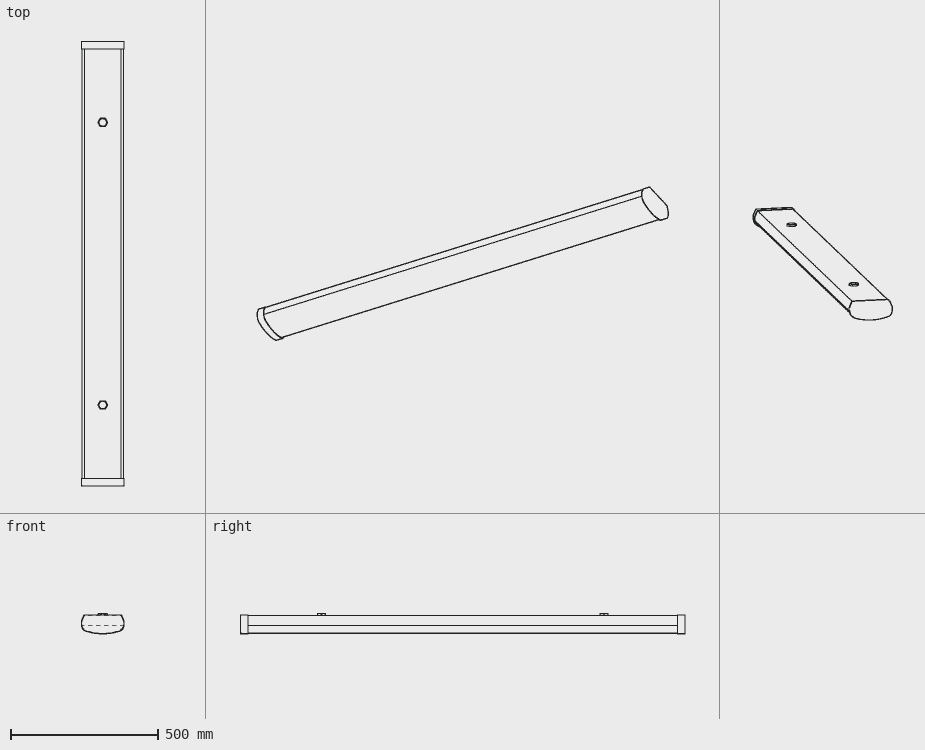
import cadquery as cq
import math

LENGTH = 1510.0
CAP_WIDTH = 145.0
TOTAL_HEIGHT = 70.0

CAP_LENGTH = 25.0
CAP_TOP = 65.0
CAP_TOP_WIDTH = 127.0
SHOULDER_HEIGHT = 44.0
SIDE_BOTTOM = 33.0
CURVE_BREAK = (71.0, 24.0)
CROWN_EDGE = (57.0, 9.0)
SIDE_RADIUS = 29.0
CORNER_RADIUS = 20.0
CAP_EDGE_ROUNDING = 6.0
CAP_END_ROUNDING = 3.0

INSET = 1.8
HOUSING_TOP = CAP_TOP - INSET
HOUSING_HALF_WIDTH = CAP_WIDTH / 2 - INSET
HOUSING_TOP_WIDTH = 124.0
SEAM_HEIGHT = 29.0
HOUSING_EDGE_ROUNDING = 8.0
BAR_LENGTH = LENGTH - 2 * CAP_LENGTH

STUD_WIDTH = 29.0
STUD_SPACING = 959.0
STUD_CROWN_DIAMETER = 25.0
STUD_CHAMFER_DROP = 2.0


def edges_between(low, high):
    """Selector for edges whose centers lie from height low to height high."""
    return cq.selectors.BoxSelector(
        (-CAP_WIDTH, -LENGTH, low - INSET), (CAP_WIDTH, LENGTH, high + INSET)
    )


def make_stud():
    """Hexagonal stud with corners along X, standing on the housing top at the origin."""
    height = TOTAL_HEIGHT - HOUSING_TOP
    across_corners = STUD_WIDTH / math.cos(math.pi / 6)
    hexagon = cq.Workplane("XY", origin=(0, 0, HOUSING_TOP)).polygon(6, across_corners).extrude(height)
    chamfer_width = (across_corners - STUD_CROWN_DIAMETER) / 2
    envelope = (
        cq.Workplane("XY", origin=(0, 0, HOUSING_TOP))
        .circle(across_corners / 2)
        .extrude(height)
        .faces(">Z")
        .chamfer(STUD_CHAMFER_DROP, chamfer_width)
    )
    return hexagon.intersect(envelope)


def make_housing():
    """Upper half of the bar: flat top, sloped shoulders, upright sides and two studs."""
    bar = (
        cq.Workplane("XZ")
        .moveTo(-HOUSING_HALF_WIDTH, SEAM_HEIGHT)
        .lineTo(HOUSING_HALF_WIDTH, SEAM_HEIGHT)
        .lineTo(HOUSING_HALF_WIDTH, SHOULDER_HEIGHT)
        .lineTo(HOUSING_TOP_WIDTH / 2, HOUSING_TOP)
        .lineTo(-HOUSING_TOP_WIDTH / 2, HOUSING_TOP)
        .lineTo(-HOUSING_HALF_WIDTH, SHOULDER_HEIGHT)
        .close()
        .extrude(BAR_LENGTH / 2, both=True)
    )
    shoulder_edges = edges_between(SHOULDER_HEIGHT, SHOULDER_HEIGHT)
    bar = bar.edges("|Y").edges(shoulder_edges).fillet(HOUSING_EDGE_ROUNDING)
    for end in (-1, 1):
        bar = bar.union(make_stud().translate((0, end * STUD_SPACING / 2, 0)))
    return bar


def make_diffuser():
    """Lower half of the bar: a half ellipse hanging from the seam."""
    return (
        cq.Workplane("XZ", origin=(0, 0, SEAM_HEIGHT))
        .ellipseArc(HOUSING_HALF_WIDTH, SEAM_HEIGHT - INSET, 180, 360, startAtCurrent=False)
        .close()
        .extrude(BAR_LENGTH / 2, both=True)
    )


def make_end_cap(end):
    """Cap closing one end of the bar; end is -1 or 1 along Y."""
    half_width = CAP_WIDTH / 2
    (break_x, break_z), (crown_x, crown_z) = CURVE_BREAK, CROWN_EDGE
    half_top = CAP_TOP_WIDTH / 2
    cap = (
        cq.Workplane("XZ", origin=(0, end * BAR_LENGTH / 2, 0))
        .moveTo(-half_top, CAP_TOP)
        .lineTo(half_top, CAP_TOP)
        .lineTo(half_width, SHOULDER_HEIGHT)
        .lineTo(half_width, SIDE_BOTTOM)
        .radiusArc((break_x, break_z), SIDE_RADIUS)
        .radiusArc((crown_x, crown_z), CORNER_RADIUS)
        .threePointArc((0, 0), (-crown_x, crown_z))
        .radiusArc((-break_x, break_z), CORNER_RADIUS)
        .radiusArc((-half_width, SIDE_BOTTOM), SIDE_RADIUS)
        .lineTo(-half_width, SHOULDER_HEIGHT)
        .close()
        .extrude(-end * CAP_LENGTH)
    )
    outer_face = ">Y" if end > 0 else "<Y"
    upper_edges = edges_between(SHOULDER_HEIGHT, CAP_TOP)
    cap = cap.edges("|Y").edges(upper_edges).fillet(CAP_EDGE_ROUNDING)
    return cap.faces(outer_face).edges().fillet(CAP_END_ROUNDING)


housing = make_housing()
diffuser = make_diffuser()
end_caps = [make_end_cap(end) for end in (-1, 1)]

result = cq.Compound.makeCompound([housing.val(), diffuser.val(), *[cap.val() for cap in end_caps]])